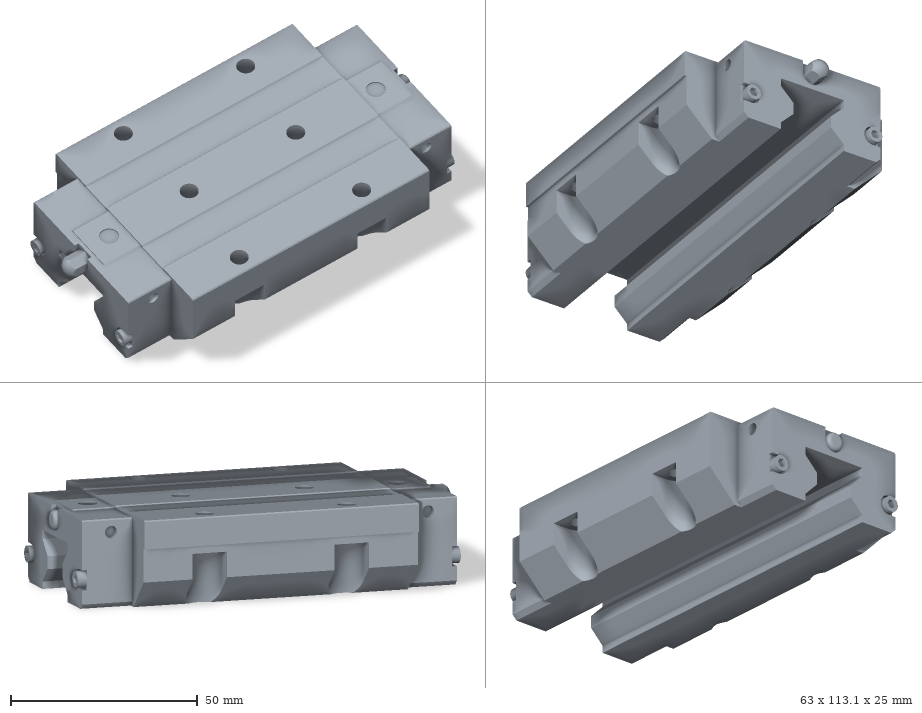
import cadquery as cq
import math

height = 25.0
block_width = 63.0
block_half_width = block_width / 2
block_half_length = 38.9
base_half_width = 22.7
edge_chamfer = 0.3
side_relief = 0.7
side_relief_top = 17.2

channel_outer = 17.8
channel_inner = 8.0
channel_depth = 0.3
channel_slope = 0.3

rail_top = 16.1
rail_half_width = 10.1
waist_half_width = 6.0
waist_top = 9.6
waist_bottom = 6.1
slope_height = rail_half_width - waist_half_width

hole_diameter = 5.1
side_hole_x = 26.6
side_hole_y = 20.1
centre_hole_y = 17.5
spotface_radius = 4.9
spotface_top = 15.0

cap_half_width = 21.7
cap_top = 24.2
cap_bottom_chamfer = 1.4
cap_edge_chamfer = 0.3
cap_end = 50.8
plate_end = 53.2
pad_top = 24.5
pad_half_width = 7.0
pad_slope = 0.7
top_recess_y = 43.9
top_recess_diameter = 5.3
top_recess_depth = 0.5
port_y = 44.9
port_z = 20.6
port_diameter = 3.4
port_depth = 2.3

screw_x = 19.3
screw_z = 7.9
screw_head_radius = 2.3
screw_recess_diameter = 5.5
screw_recess_radius = screw_recess_diameter / 2
screw_recess_depth = 1.5
screw_end = 54.3
socket_across_corners = 2.7
socket_depth = 1.1

nipple_z = 20.6
nipple_across_corners = 6.0
nipple_tip = 58.8
plug_diameter = 5.3
plug_tip = 54.3
plug_rounding = 1.1
nipple_dome_radius = 3.2
notch_radius = 2.9
notch_depth = 1.4


def extrude_y(sketch, start, end):
    """Extrude an XZ sketch made at Y = 0 so that it runs from start to end along Y."""
    return sketch.extrude(end - start).translate((0, end, 0))


def box_between(x0, x1, y0, y1, z0, z1):
    """Box given by its limits along each axis."""
    return cq.Workplane("XY").box(x1 - x0, y1 - y0, z1 - z0, centered=False).translate((x0, y0, z0))


def rod_y(radius, x, z, y0, y1):
    """Cylinder along Y."""
    return extrude_y(cq.Workplane("XZ").center(x, z).circle(radius), y0, y1)


def hex_y(across_corners, x, z, y0, y1):
    """Hexagonal prism along Y with two corners in line along X."""
    return extrude_y(cq.Workplane("XZ").center(x, z).polygon(6, across_corners), y0, y1)


def make_block():
    """Flanged block with its top channels, mounting holes and spotfaces."""
    relieved = block_half_width - side_relief
    floor = height - channel_depth
    flank = block_half_width - base_half_width
    outline = [
        (-base_half_width, 0),
        (-relieved, relieved - base_half_width),
        (-relieved, side_relief_top),
        (-block_half_width, side_relief_top),
        (-block_half_width, height - edge_chamfer),
        (-block_half_width + edge_chamfer, height),
        (-channel_outer, height),
        (-channel_outer + channel_slope, floor),
        (-channel_inner - channel_slope, floor),
        (-channel_inner, height),
        (channel_inner, height),
        (channel_inner + channel_slope, floor),
        (channel_outer - channel_slope, floor),
        (channel_outer, height),
        (block_half_width - edge_chamfer, height),
        (block_half_width, height - edge_chamfer),
        (block_half_width, flank),
        (base_half_width, 0),
    ]
    block = extrude_y(cq.Workplane("XZ").polyline(outline).close(), -block_half_length, block_half_length)

    side_holes = [(sx * side_hole_x, sy * side_hole_y) for sx in (-1, 1) for sy in (-1, 1)]
    centre_holes = [(0, -centre_hole_y), (0, centre_hole_y)]
    drills = cq.Workplane("XY").pushPoints(side_holes + centre_holes).circle(hole_diameter / 2)
    block = block.cut(drills.extrude(height))
    for x, y in side_holes:
        block = block.cut(make_spotface(x, y))
    return block


def make_spotface(x, y):
    """Screw clearance under a side hole, open towards the nearer side of the block."""
    round_end = cq.Workplane("XY").center(x, y).circle(spotface_radius).extrude(spotface_top)
    outside = math.copysign(block_half_width, x)
    opening = box_between(
        min(x, outside), max(x, outside), y - spotface_radius, y + spotface_radius, 0, spotface_top
    )
    return round_end.union(opening)


def make_end_caps():
    """Both end caps with their raised pads, top recesses and blind side ports."""
    shoulder = cap_half_width - cap_edge_chamfer
    foot = cap_half_width - cap_bottom_chamfer
    outline = [
        (-foot, 0),
        (-cap_half_width, cap_bottom_chamfer),
        (-cap_half_width, cap_top - cap_edge_chamfer),
        (-shoulder, cap_top),
        (shoulder, cap_top),
        (cap_half_width, cap_top - cap_edge_chamfer),
        (cap_half_width, cap_bottom_chamfer),
        (foot, 0),
    ]
    pad = [
        (-pad_half_width - pad_slope, cap_top),
        (-pad_half_width, pad_top),
        (pad_half_width, pad_top),
        (pad_half_width + pad_slope, cap_top),
    ]
    caps = extrude_y(cq.Workplane("XZ").polyline(outline).close(), -plate_end, plate_end)
    caps = caps.union(extrude_y(cq.Workplane("XZ").polyline(pad).close(), -cap_end, cap_end))
    middle = box_between(
        -block_half_width, block_half_width, -block_half_length, block_half_length, 0, height
    )
    caps = caps.cut(middle)

    recesses = (
        cq.Workplane("XY", origin=(0, 0, pad_top - top_recess_depth))
        .pushPoints([(0, -top_recess_y), (0, top_recess_y)])
        .circle(top_recess_diameter / 2)
        .extrude(top_recess_depth)
    )
    caps = caps.cut(recesses)
    for start in (-cap_half_width, cap_half_width - port_depth):
        ports = (
            cq.Workplane("YZ", origin=(start, 0, 0))
            .pushPoints([(-port_y, port_z), (port_y, port_z)])
            .circle(port_diameter / 2)
            .extrude(port_depth)
        )
        caps = caps.cut(ports)
    return caps


def make_rail_passage():
    """Waisted passage for the rail, running the whole length."""
    right_side = [
        (rail_half_width, 0),
        (rail_half_width, waist_bottom - slope_height),
        (waist_half_width, waist_bottom),
        (waist_half_width, waist_top),
        (rail_half_width, waist_top + slope_height),
        (rail_half_width, rail_top),
    ]
    left_side = [(-x, z) for x, z in reversed(right_side)]
    passage = cq.Workplane("XZ").polyline(right_side + left_side).close()
    return extrude_y(passage, -plate_end, plate_end)


def make_screw_recess():
    """Recess at the +X, +Y corner, round on the inside and open to the side."""
    floor = plate_end - screw_recess_depth
    opening = box_between(
        screw_x, cap_half_width, floor, plate_end,
        screw_z - screw_recess_radius, screw_z + screw_recess_radius,
    )
    return rod_y(screw_recess_radius, screw_x, screw_z, floor, plate_end).union(opening)


def make_screw():
    """Socket screw head at the +X, +Y corner."""
    head = rod_y(screw_head_radius, screw_x, screw_z, plate_end - screw_recess_depth, screw_end)
    return head.cut(hex_y(socket_across_corners, screw_x, screw_z, screw_end - socket_depth, screw_end))


def at_four_corners(shape):
    """Mirror a shape from the +X, +Y corner to all four corners."""
    both_sides = shape.union(shape.mirror("YZ"))
    return both_sides.union(both_sides.mirror("XZ"))


def make_notch():
    """U-shaped notch in the +Y seal plate, open to the top."""
    floor = plate_end - notch_depth
    opening = box_between(-notch_radius, notch_radius, floor, plate_end, nipple_z, height)
    return rod_y(notch_radius, 0, nipple_z, floor, plate_end).union(opening)


def make_plug():
    """Round plug at the +Y end with a rounded rim."""
    plug = rod_y(plug_diameter / 2, 0, nipple_z, plate_end - notch_depth, plug_tip)
    return plug.faces(">Y").edges().fillet(plug_rounding)


def make_nipple():
    """Hexagonal nipple at the -Y end with two corners upright and a spherical tip."""
    stem = hex_y(nipple_across_corners, 0, 0, -nipple_tip, notch_depth - plate_end)
    corners_up = stem.rotate((0, 0, 0), (0, 1, 0), 90).translate((0, 0, nipple_z))
    centre = nipple_dome_radius - nipple_tip
    ball = cq.Workplane("XY").sphere(nipple_dome_radius).translate((0, centre, nipple_z))
    behind_ball = rod_y(nipple_dome_radius, 0, nipple_z, centre, notch_depth - plate_end)
    return corners_up.intersect(ball.union(behind_ball))


notch = make_notch()
result = make_block().union(make_end_caps()).cut(make_rail_passage())
result = result.cut(at_four_corners(make_screw_recess())).union(at_four_corners(make_screw()))
result = result.cut(notch).cut(notch.mirror("XZ"))
result = result.union(make_plug()).union(make_nipple())